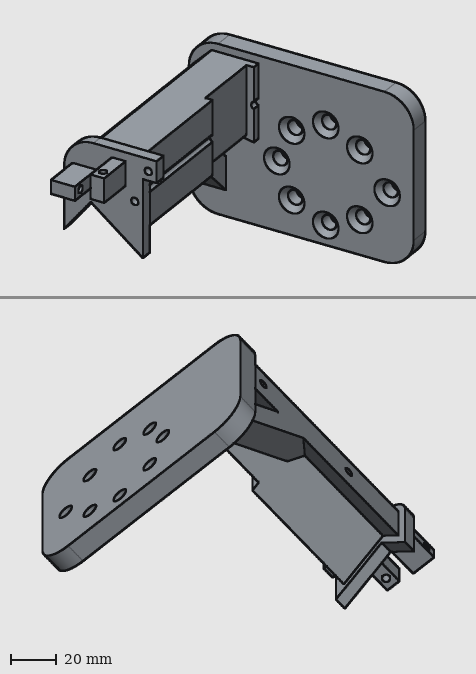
import cadquery as cq
import math

PLATE_WIDTH = 115.0
PLATE_HEIGHT = 85.0
PLATE_THICKNESS = 10.0
CORNER_RADIUS = 15.0

PATTERN_X = 70.0
PATTERN_Z = 35.0
PATTERN_RADIUS = 25.0
DIAGONAL_OFFSET = 17.4
FAR_HOLE_OFFSET = 31.4
SCREW_DIAMETER = 7.2
COUNTERSINK_DIAMETER = 13.0
COUNTERSINK_ANGLE = 90.0

ARM_LENGTH = 100.0
ARM_INSET = 4.0
ARM_LEFT = ARM_INSET
ARM_RIGHT = 35.65
ARM_TOP = PLATE_HEIGHT - ARM_INSET
ARM_CHAMFER = 7.7
ARM_FOOT_LENGTH = 4.0

RELIEF_LENGTH = 35.0
RELIEF_WALL_X = 32.0

SIDE_HOLE_DIAMETER = 4.2
SIDE_HOLE_DEPTH = 7.0
SIDE_HOLE_Z = 62.3
SIDE_HOLE_DISTANCES = (10.0, 67.0)

END_THICKNESS = 6.0
END_RIGHT = 40.25
LUG_RIGHT = 47.3
LUG_BOTTOM = 74.1
LUG_HOLE_X = 43.0
LUG_HOLE_Z = 78.8
EDGE_HOLE_X = 36.1
EDGE_HOLE_Z = 61.9
PIN_HOLE_DIAMETER = 3.6

GROOVE_LEFT_Z = 38.0
GROOVE_APEX_X = 13.6
GROOVE_APEX_Z = 55.2
GROOVE_RIGHT_Z = 34.7
GROOVE_SHIFT = 4.15
LEFT_SLOPE = (GROOVE_APEX_Z - GROOVE_LEFT_Z) / GROOVE_APEX_X
RIGHT_SLOPE = (GROOVE_APEX_Z - GROOVE_RIGHT_Z) / (END_RIGHT - GROOVE_APEX_X)
LEFT_RISE = GROOVE_SHIFT * math.hypot(1, LEFT_SLOPE)
RIGHT_RISE = GROOVE_SHIFT * math.hypot(1, RIGHT_SLOPE)
ARM_APEX_X = GROOVE_APEX_X + (RIGHT_RISE - LEFT_RISE) / (LEFT_SLOPE + RIGHT_SLOPE)
ARM_APEX_Z = GROOVE_APEX_Z + LEFT_RISE + LEFT_SLOPE * (ARM_APEX_X - GROOVE_APEX_X)
ARM_LEFT_BOTTOM = GROOVE_LEFT_Z + LEFT_RISE + LEFT_SLOPE * ARM_LEFT
ARM_RIGHT_BOTTOM = GROOVE_RIGHT_Z + RIGHT_RISE + RIGHT_SLOPE * (END_RIGHT - ARM_RIGHT)

TAB_LENGTH = 18.3
TAB_WIDTH = 12.2
TAB_THICKNESS = 7.0
TAB_HOLE_FROM_TIP = 4.9
FLAT_TAB_CENTRE = (10.4, 68.7)
UPRIGHT_TAB_CENTRE = (28.0, 74.5)

BRACE_WIDTH = 15.0
BRACE_THICKNESS = 12.0
BRACE_ANGLE = math.radians(45.0)
BRACE_BOTTOM = 13.1
BRACE_TOP = 64.0

END_BACK_Y = -ARM_LENGTH
END_FRONT_Y = END_BACK_Y - END_THICKNESS
TAB_TIP_Y = END_FRONT_Y - TAB_LENGTH


def extrude_along_y(outline, back_y, front_y):
    """Extrude a list of (X, Z) points from back_y forward to front_y."""
    return cq.Workplane("XZ", origin=(0, back_y, 0)).polyline(outline).close().extrude(back_y - front_y)


def cylinder(start, direction, diameter, length):
    return cq.Workplane(
        cq.Solid.makeCylinder(diameter / 2, length, cq.Vector(*start), cq.Vector(*direction))
    )


def make_mounting_plate():
    plate = (
        cq.Workplane("XZ", origin=(0, PLATE_THICKNESS, 0))
        .rect(PLATE_WIDTH, PLATE_HEIGHT, centered=False)
        .extrude(PLATE_THICKNESS)
        .edges("|Y")
        .fillet(CORNER_RADIUS)
    )
    offsets = [(FAR_HOLE_OFFSET, 0), (-PATTERN_RADIUS, 0), (0, PATTERN_RADIUS), (0, -PATTERN_RADIUS)]
    for x_side in (-1, 1):
        for z_side in (-1, 1):
            offsets.append((x_side * DIAGONAL_OFFSET, z_side * DIAGONAL_OFFSET))
    return (
        plate.faces("<Y")
        .workplane(origin=(PATTERN_X, 0, PATTERN_Z))
        .pushPoints(offsets)
        .cskHole(SCREW_DIAMETER, COUNTERSINK_DIAMETER, COUNTERSINK_ANGLE)
    )


def make_arm():
    foot_outline = [
        (ARM_LEFT, ARM_LEFT_BOTTOM),
        (ARM_LEFT, ARM_TOP - ARM_CHAMFER),
        (ARM_LEFT + ARM_CHAMFER, ARM_TOP),
        (ARM_RIGHT, ARM_TOP),
        (ARM_RIGHT, ARM_RIGHT_BOTTOM),
    ]
    grooved_outline = foot_outline + [(ARM_APEX_X, ARM_APEX_Z)]
    foot = extrude_along_y(foot_outline, 0, -ARM_FOOT_LENGTH)
    arm = foot.union(extrude_along_y(grooved_outline, -ARM_FOOT_LENGTH, END_BACK_Y))

    relief_outline = [
        (RELIEF_WALL_X, 0),
        (RELIEF_WALL_X, ARM_TOP),
        (ARM_RIGHT, ARM_TOP),
        (ARM_RIGHT, 0),
    ]
    arm = arm.cut(extrude_along_y(relief_outline, -ARM_FOOT_LENGTH, -ARM_FOOT_LENGTH - RELIEF_LENGTH))

    for distance in SIDE_HOLE_DISTANCES:
        start = (ARM_LEFT, -distance, SIDE_HOLE_Z)
        arm = arm.cut(cylinder(start, (1, 0, 0), SIDE_HOLE_DIAMETER, SIDE_HOLE_DEPTH))
    return arm


def make_end_plate():
    outline = [
        (0, GROOVE_LEFT_Z),
        (0, PLATE_HEIGHT),
        (LUG_RIGHT, PLATE_HEIGHT),
        (LUG_RIGHT, LUG_BOTTOM),
        (END_RIGHT, LUG_BOTTOM),
        (END_RIGHT, GROOVE_RIGHT_Z),
        (GROOVE_APEX_X, GROOVE_APEX_Z),
    ]
    plate = extrude_along_y(outline, END_BACK_Y, END_FRONT_Y)
    return plate.edges("|Y and <X and >Z").fillet(CORNER_RADIUS)


def make_tab(centre, x_size, z_size, hole_direction):
    x, z = centre
    tab = cq.Workplane("XZ", origin=(x, END_FRONT_Y, z)).rect(x_size, z_size).extrude(TAB_LENGTH)
    dx, _, dz = hole_direction
    start = (x - dx * TAB_WIDTH / 2, TAB_TIP_Y + TAB_HOLE_FROM_TIP, z - dz * TAB_WIDTH / 2)
    return tab.cut(cylinder(start, hole_direction, PIN_HOLE_DIAMETER, TAB_WIDTH))


def make_brace():
    slope = math.tan(BRACE_ANGLE)
    root_height = BRACE_THICKNESS / math.cos(BRACE_ANGLE)
    upper_root = BRACE_BOTTOM + root_height
    outline = [
        (0, BRACE_BOTTOM),
        (-(BRACE_TOP - BRACE_BOTTOM) / slope, BRACE_TOP),
        (-(BRACE_TOP - upper_root) / slope, BRACE_TOP),
        (0, upper_root),
    ]
    return cq.Workplane("YZ", origin=(ARM_LEFT, 0, 0)).polyline(outline).close().extrude(BRACE_WIDTH)


def make_beam():
    """Arm and end plate, with one hole through the lug and one running along the arm to its root."""
    lug_hole_start = (LUG_HOLE_X, END_FRONT_Y, LUG_HOLE_Z)
    edge_hole_start = (EDGE_HOLE_X, END_FRONT_Y, EDGE_HOLE_Z)
    lug_hole = cylinder(lug_hole_start, (0, 1, 0), PIN_HOLE_DIAMETER, END_THICKNESS)
    edge_hole = cylinder(edge_hole_start, (0, 1, 0), PIN_HOLE_DIAMETER, -END_FRONT_Y)
    return make_arm().union(make_end_plate()).cut(lug_hole).cut(edge_hole)


result = (
    make_mounting_plate()
    .union(make_beam())
    .union(make_brace())
    .union(make_tab(FLAT_TAB_CENTRE, TAB_WIDTH, TAB_THICKNESS, (1, 0, 0)))
    .union(make_tab(UPRIGHT_TAB_CENTRE, TAB_THICKNESS, TAB_WIDTH, (0, 0, 1)))
)